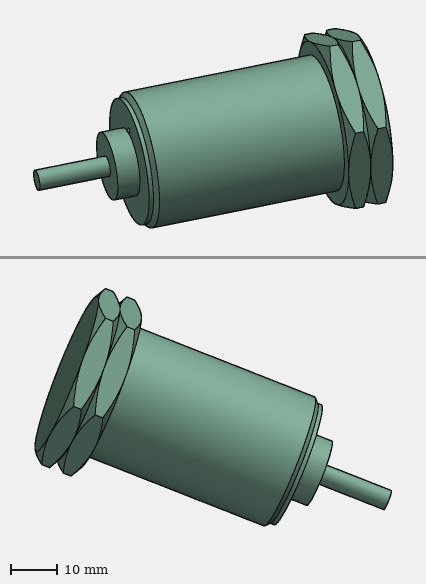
import cadquery as cq
import math

total_length = 75.0
cable_length = 16.0
boss_length = 5.0
rim_length = 1.0
barrel_chamfer = 1.05
nut_thickness = 5.0

cable_diameter = 4.5
boss_diameter = 15.0
barrel_diameter = 30.0
rim_diameter = barrel_diameter - 2 * barrel_chamfer

nut_across_flats = 36.0
nut_across_corners = nut_across_flats / math.cos(math.pi / 6)
nut_chamfer_angle = 30.0

lamp_radius = 0.5
lamp_offset = 8.6

tip_y = -total_length / 2
boss_y = tip_y + cable_length
rim_y = boss_y + boss_length
barrel_y = rim_y + rim_length
end_y = total_length / 2


def cylinder(diameter, start_y, stop_y):
    """Cylinder on the Y axis between two stations."""
    plane = cq.Workplane("XZ", origin=(0, stop_y, 0))
    return plane.circle(diameter / 2).extrude(stop_y - start_y)


def hex_nut(start_y):
    """Hexagon nut with corners on Z, both faces turned down to the flats circle."""
    stop_y = start_y + nut_thickness
    hexagon = (
        cq.Workplane("XZ", origin=(0, stop_y, 0))
        .transformed(rotate=(0, 0, 90))
        .polygon(6, nut_across_corners)
        .extrude(nut_thickness)
    )
    face_radius = nut_across_flats / 2
    corner_radius = nut_across_corners / 2
    chamfer_depth = (corner_radius - face_radius) * math.tan(math.radians(nut_chamfer_angle))
    turned_blank = (
        cq.Workplane("XY")
        .moveTo(0, start_y)
        .lineTo(face_radius, start_y)
        .lineTo(corner_radius, start_y + chamfer_depth)
        .lineTo(corner_radius, stop_y - chamfer_depth)
        .lineTo(face_radius, stop_y)
        .lineTo(0, stop_y)
        .close()
        .revolve(360, (0, 0, 0), (0, 1, 0))
    )
    return hexagon.intersect(turned_blank)


cable = cylinder(cable_diameter, tip_y, boss_y)
boss = cylinder(boss_diameter, boss_y, rim_y)
rim = cylinder(rim_diameter, rim_y, barrel_y)
barrel = cylinder(barrel_diameter, barrel_y, end_y).faces("<Y").chamfer(barrel_chamfer)
lamp = cq.Workplane("XY").sphere(lamp_radius).translate((0, rim_y, lamp_offset))

result = barrel.union(rim).union(boss).union(cable).union(lamp)

for nut_index in range(2):
    result = result.union(hex_nut(end_y - (nut_index + 1) * nut_thickness))